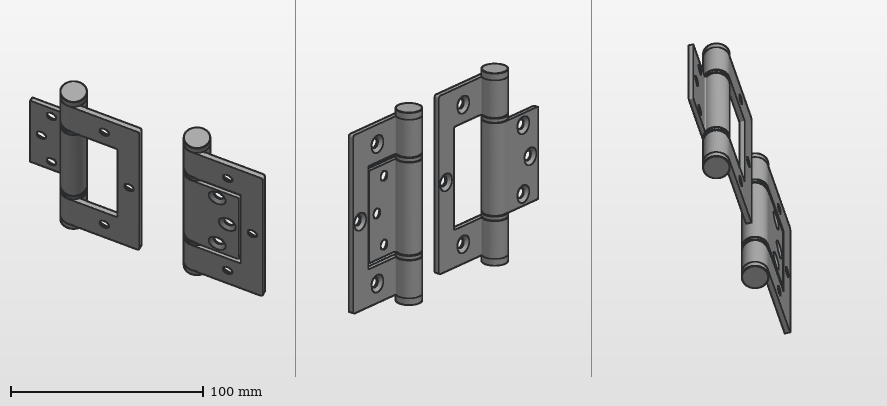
import cadquery as cq
import math


TOTAL_LENGTH = 139.5
HINGE_HEIGHT = 108.0

BARREL_DIAMETER = 14.1
BARREL_RADIUS = BARREL_DIAMETER / 2
PIN_DIAMETER = 7.0
ROOT_FILLET = 0.5
HEAD_CHAMFER = 0.3
WASHER_CHAMFER = 0.4

OUTER_REACH = 41.1
OUTER_HEIGHT = 100.0
OUTER_THICKNESS = 2.9
OUTER_CORNER_RADIUS = 1.5
WINDOW_REACH = 28.5
WINDOW_HEIGHT = 57.7
WINDOW_CORNER_RADIUS = 0.8

INNER_REACH = 27.3
INNER_HEIGHT = 51.9
INNER_THICKNESS = 2.5
INNER_CORNER_RADIUS = 0.8

HOLE_DIAMETER = 5.5
SINK_DIAMETER = 9.8
SINK_ANGLE = 100
OUTER_HOLES = [(20.9, -39.0), (35.1, 0.0), (20.9, 39.0)]
INNER_HOLES = [(14.9, -19.2), (20.8, 0.0), (14.9, 19.2)]

HEAD_HEIGHT = (HINGE_HEIGHT - OUTER_HEIGHT) / 2
WASHER_HEIGHT = (WINDOW_HEIGHT - INNER_HEIGHT) / 2
HINGE_SPACING = TOTAL_LENGTH - INNER_REACH - OUTER_REACH


def cylinder(diameter, height):
    """Cylinder on the hinge axis, centred on Z = 0."""
    return cq.Workplane("XY").cylinder(height, diameter / 2)


def leaf_blank(reach, height, thickness, corner_radius):
    """Full-height knuckle with a plate tangent to its -Y side, running toward +X."""
    plate = (
        cq.Workplane("XY")
        .box(reach, thickness, height, centered=(False, False, True))
        .translate((0, -BARREL_RADIUS, 0))
        .edges("|Y and >X")
        .fillet(corner_radius)
    )
    blank = cylinder(BARREL_DIAMETER, height).union(plate)

    root_y = thickness - BARREL_RADIUS
    root_x = math.sqrt(BARREL_RADIUS**2 - root_y**2)
    root_edge = cq.selectors.NearestToPointSelector((root_x, root_y, 0))
    return blank.edges(root_edge).fillet(ROOT_FILLET)


def countersink_holes(leaf, places, face_y, outward, thickness):
    """Drill screw holes along Y, sunk from the leaf face at face_y whose normal is +Y or -Y."""
    sunk_face = cq.Plane(origin=(0, face_y, 0), xDir=(1, 0, 0), normal=(0, outward, 0))
    local_places = [(x, -outward * z) for x, z in places]
    return (
        leaf.copyWorkplane(cq.Workplane(sunk_face))
        .pushPoints(local_places)
        .cskHole(HOLE_DIAMETER, SINK_DIAMETER, SINK_ANGLE, depth=thickness)
    )


def pin_bore():
    return cylinder(PIN_DIAMETER, HINGE_HEIGHT)


def make_outer_leaf():
    """Frame leaf with end knuckles and holes countersunk from the +Y side."""
    leaf = leaf_blank(OUTER_REACH, OUTER_HEIGHT, OUTER_THICKNESS, OUTER_CORNER_RADIUS)
    window = (
        cq.Workplane("XY")
        .box(WINDOW_REACH + BARREL_DIAMETER, 2 * BARREL_DIAMETER, WINDOW_HEIGHT)
        .translate(((WINDOW_REACH - BARREL_DIAMETER) / 2, 0, 0))
        .edges("|Y and >X")
        .fillet(WINDOW_CORNER_RADIUS)
    )
    leaf = leaf.cut(window).cut(pin_bore())
    inner_face_y = OUTER_THICKNESS - BARREL_RADIUS
    return countersink_holes(leaf, OUTER_HOLES, inner_face_y, 1, OUTER_THICKNESS)


def make_inner_leaf():
    """Plate leaf with a central knuckle and holes countersunk from the -Y side."""
    leaf = leaf_blank(INNER_REACH, INNER_HEIGHT, INNER_THICKNESS, INNER_CORNER_RADIUS)
    leaf = leaf.cut(pin_bore())
    return countersink_holes(leaf, INNER_HOLES, -BARREL_RADIUS, -1, INNER_THICKNESS)


def make_pin():
    """Pin through all knuckles, with a chamfered head the size of the barrel at each end."""
    pin = pin_bore()
    for side in (-1, 1):
        head_centre = side * (HINGE_HEIGHT - HEAD_HEIGHT) / 2
        head = cylinder(BARREL_DIAMETER, HEAD_HEIGHT).translate((0, 0, head_centre))
        pin = pin.union(head)
    return pin.faces("<Z or >Z").edges().chamfer(HEAD_CHAMFER)


def make_washer():
    """Ring between two knuckles, chamfered on both outer rims."""
    ring = cylinder(BARREL_DIAMETER, WASHER_HEIGHT).edges().chamfer(WASHER_CHAMFER)
    return ring.cut(pin_bore())


def make_hinge(axis_x, opening_angle):
    """Bodies of one hinge; the inner leaf is swung about the axis from the closed position."""
    inner_leaf = make_inner_leaf().rotate((0, 0, 0), (0, 0, 1), opening_angle)
    washer_centre = (INNER_HEIGHT + WASHER_HEIGHT) / 2
    washers = [make_washer().translate((0, 0, side * washer_centre)) for side in (-1, 1)]
    bodies = [make_outer_leaf(), inner_leaf, make_pin(), *washers]
    return [body.translate((axis_x, 0, 0)).solids().val() for body in bodies]


open_hinge = make_hinge(axis_x=0, opening_angle=180)
closed_hinge = make_hinge(axis_x=HINGE_SPACING, opening_angle=0)

result = cq.Compound.makeCompound([*open_hinge, *closed_hinge])